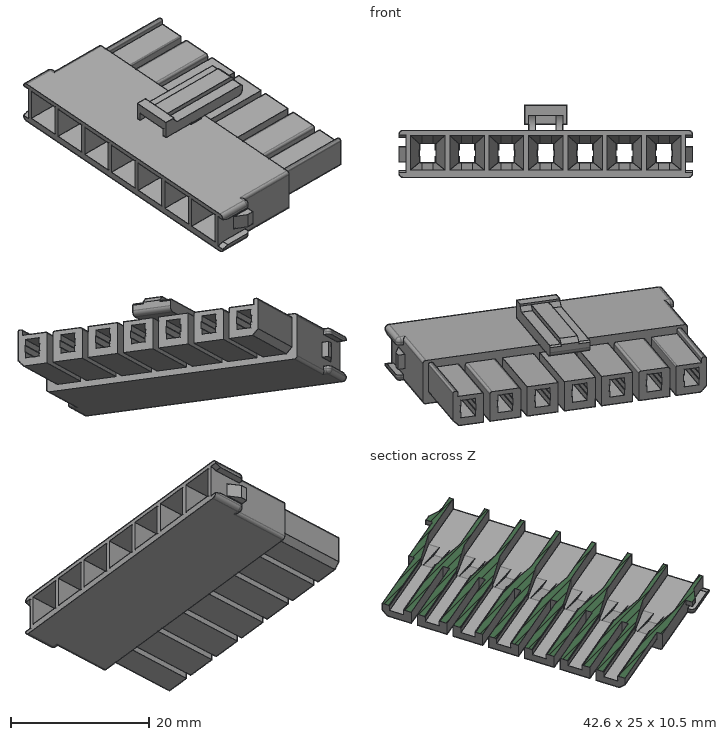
import cadquery as cq

cell_count = 7
pitch = 5.7

overall_width = 42.55
overall_length = 25.0
overall_height = 10.5

body_width = 40.5
body_length = 14.0
body_height = 6.85
body_edge_radius = 0.45

flange_length = 5.35
flange_thickness = 1.05
flange_front_thickness = 0.7
flange_ramp_length = 0.95
flange_edge_radius = 0.65
flange_overlap = 1.0

catch_front = 3.05
catch_crest = 4.9
catch_back = 5.9
catch_bottom = 2.25
catch_top = 4.5

pocket_size = 5.0
pocket_bottom = 1.1
pocket_depth = 8.5
throat_length = 5.5
throat_width = 2.4
window_width = 2.2
window_height = 2.75
window_bottom = 2.15
slot_height = 1.0
relief_width = 1.6
relief_length = 3.7

tower_width = 4.75
tower_bottom = 0.95
tower_top = 5.6
rounded_tower_radius = 0.35
end_tower_inner_radius = 0.18
end_tower_outer_x = 19.4
end_tower_chamfer = 0.9
rim_width = 0.75
rim_top = 6.45
rim_radius = 0.28

latch_width = 6.1
latch_front = 5.6
latch_back = 20.65
latch_bottom = 7.7
latch_shelf = 9.5
latch_nose_radius = 0.75
latch_shelf_chamfer = 0.25
hook_top_length = 1.6
hook_slope_length = 0.6
ridge_width = 2.7
ridge_top = 10.2
ridge_chamfer = 0.7
channel_width = 4.95
channel_roof = 9.0
channel_back = 12.0

post_width = 1.0
post_base_front = 11.05
post_base_back = 13.1
post_waist_inset = 0.3

half_body = body_width / 2
half_overall = overall_width / 2
pocket_mid_z = pocket_bottom + pocket_size / 2
window_mid_z = window_bottom + window_height / 2
window_top = window_bottom + window_height
pocket_top = pocket_bottom + pocket_size
cell_xs = [(i - (cell_count - 1) / 2) * pitch for i in range(cell_count)]


def box(x0, x1, y0, y1, z0, z1):
    """Box between opposite corners."""
    return cq.Workplane("XY").box(x1 - x0, y1 - y0, z1 - z0, centered=False).translate((x0, y0, z0))


def side_plane(x):
    """Workplane at the given X whose sketch coordinates are (Y, Z); it extrudes towards +X."""
    return cq.Workplane("YZ", origin=(x, 0, 0))


def mirror_x(shape):
    """Shape together with its mirror image across the YZ plane."""
    return shape.union(shape.mirror("YZ"))


def make_body():
    body = box(-half_body, half_body, 0, body_length, 0, body_height)
    return body.edges("|Y").fillet(body_edge_radius)


def make_top_flange():
    """Full-width top flange with a ramped underside and rounded outer and back edges."""
    flange = (
        side_plane(-half_overall)
        .moveTo(0, body_height)
        .lineTo(flange_length, body_height)
        .lineTo(flange_length, body_height - flange_thickness)
        .lineTo(flange_ramp_length, body_height - flange_thickness)
        .lineTo(0, body_height - flange_front_thickness)
        .close()
        .extrude(overall_width)
    )
    return flange.edges("(|Y and >Z) or (>Y and >Z) or (|Z and >Y)").fillet(flange_edge_radius)


def make_flanges():
    """Top and bottom flanges; only their ends are kept, overlapping the housing walls."""
    top = make_top_flange()
    bottom = top.mirror("XY").translate((0, 0, body_height))
    inner_x = half_body - flange_overlap
    middle = box(-inner_x, inner_x, 0, flange_length, 0, body_height)
    return top.union(bottom).cut(middle)


def make_catches():
    """Wedge on each side wall, ramped towards the mating face."""
    catch = (
        cq.Workplane("XY", origin=(0, 0, catch_bottom))
        .moveTo(half_body - body_edge_radius, catch_front)
        .lineTo(half_body, catch_front)
        .lineTo(half_overall, catch_crest)
        .lineTo(half_overall, catch_back)
        .lineTo(half_body - body_edge_radius, catch_back)
        .close()
        .extrude(catch_top - catch_bottom)
    )
    return mirror_x(catch)


def make_tower(x, top_radius):
    tower = box(x - tower_width / 2, x + tower_width / 2,
                body_length, overall_length, tower_bottom, tower_top)
    if top_radius:
        tower = tower.edges("|Y and >Z").fillet(top_radius)
    return tower


def make_end_tower():
    """Tower at the +X end: outer wall raised into a rim, lower outer corner chamfered."""
    inner_x = cell_xs[-1] - tower_width / 2
    tower = box(inner_x, end_tower_outer_x, body_length, overall_length, tower_bottom, tower_top)
    tower = tower.edges("|Y and >Z and <X").fillet(end_tower_inner_radius)
    tower = tower.edges("|Y and <Z and >X").chamfer(end_tower_chamfer)
    rim = box(end_tower_outer_x - rim_width, end_tower_outer_x,
              body_length, overall_length, pocket_mid_z, rim_top)
    return tower.union(rim.edges("|Y and >Z").fillet(rim_radius))


def make_towers():
    towers = mirror_x(make_end_tower())
    last_inner = cell_count - 2
    for i in range(1, last_inner + 1):
        rounded = i in (1, last_inner)
        towers = towers.union(make_tower(cell_xs[i], rounded_tower_radius if rounded else 0))
    return towers


def make_cavity():
    """Pocket, tapered throat with steeper mid-strip reliefs, and slotted wire window of one cell."""
    half_pocket = pocket_size / 2
    half_window = window_width / 2
    half_throat = throat_width / 2
    throat_end = pocket_depth + throat_length
    relief_start = throat_end - relief_length
    pocket = box(-half_pocket, half_pocket, 0, pocket_depth, pocket_bottom, pocket_top)
    throat = (
        cq.Workplane("XZ", origin=(0, pocket_depth, 0))
        .center(0, pocket_mid_z)
        .rect(pocket_size, pocket_size)
        .workplane(offset=-throat_length)
        .center(0, window_mid_z - pocket_mid_z)
        .rect(throat_width, window_height)
        .loft(ruled=True)
    )
    window = box(-half_window, half_window, throat_end, overall_length, window_bottom, window_top)
    side_slots = box(-half_throat, half_throat, throat_end, overall_length,
                     window_mid_z - slot_height / 2, window_mid_z + slot_height / 2)
    relief = (
        side_plane(-relief_width / 2)
        .moveTo(pocket_depth, pocket_bottom)
        .lineTo(relief_start, pocket_bottom)
        .lineTo(throat_end, window_bottom)
        .lineTo(throat_end, window_top)
        .lineTo(relief_start, pocket_top)
        .lineTo(pocket_depth, pocket_top)
        .close()
        .extrude(relief_width)
    )
    return pocket.union(throat).union(window).union(side_slots).union(relief)


def make_lever():
    """Latch lever: two shelves, a hook at the front and a raised ridge along the middle."""
    hook_back = latch_front + hook_top_length
    lever = (
        side_plane(-latch_width / 2)
        .moveTo(latch_front, latch_bottom)
        .lineTo(latch_front, overall_height)
        .lineTo(hook_back, overall_height)
        .lineTo(hook_back, ridge_top)
        .lineTo(hook_back + hook_slope_length, latch_shelf)
        .lineTo(latch_back - latch_shelf_chamfer, latch_shelf)
        .lineTo(latch_back, latch_shelf - latch_shelf_chamfer)
        .lineTo(latch_back, latch_bottom + latch_nose_radius)
        .radiusArc((latch_back - latch_nose_radius, latch_bottom), latch_nose_radius)
        .close()
        .extrude(latch_width)
    )
    ridge = (
        side_plane(-ridge_width / 2)
        .moveTo(latch_front, latch_bottom + latch_nose_radius)
        .lineTo(latch_front, ridge_top)
        .lineTo(latch_back - ridge_chamfer, ridge_top)
        .lineTo(latch_back, ridge_top - ridge_chamfer)
        .lineTo(latch_back, latch_bottom + latch_nose_radius)
        .close()
        .extrude(ridge_width)
    )
    channel = box(-channel_width / 2, channel_width / 2,
                  latch_front, channel_back, latch_bottom, channel_roof)
    return lever.union(ridge).cut(channel)


def make_posts():
    """Two waisted posts joining the lever to the housing."""
    waist_z = (body_height + channel_roof) / 2
    outer_x = channel_width / 2
    post = (
        side_plane(outer_x - post_width)
        .moveTo(post_base_front, body_height)
        .threePointArc((post_base_front + post_waist_inset, waist_z), (post_base_front, channel_roof))
        .lineTo(post_base_back, channel_roof)
        .threePointArc((post_base_back - post_waist_inset, waist_z), (post_base_back, body_height))
        .close()
        .extrude(post_width)
    )
    return mirror_x(post)


result = make_body().union(make_flanges()).union(make_catches()).union(make_towers())
cavity = make_cavity()
for cell_x in cell_xs:
    result = result.cut(cavity.translate((cell_x, 0, 0)))
result = result.union(make_lever()).union(make_posts())